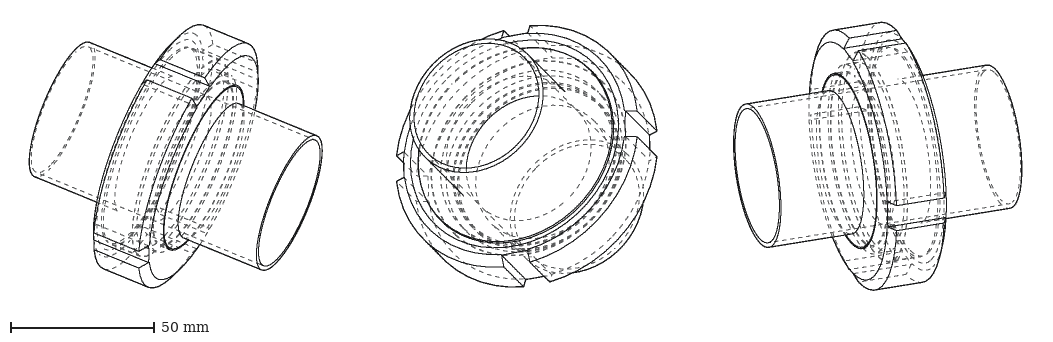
import cadquery as cq
import math


cone_slope = math.tan(math.radians(60))

overall_length = 89.0
pipe_bore_radius = 47.5 / 2
pipe_radius = 50.8 / 2

nut_radius = 46.0
nut_face_radius = 42.1
nut_start = 33.65
nut_length = 21.8
nut_end = nut_start + nut_length
nut_chamfer_length = 2.1
thread_bore_radius = 74.2 / 2
thread_entry_radius = 79.0 / 2
thread_entry_depth = (thread_entry_radius - thread_bore_radius) / cone_slope
collar_bore_radius = 67.0 / 2
lip_bore_radius = 62.0 / 2
lip_thickness = 4.1
lip_start = nut_end - lip_thickness
slot_count = 4
slot_width = 9.9
slot_floor_radius = nut_face_radius

head_radius = 73.8 / 2
head_start = 34.2
neck_fillet = 1.8

collar_radius = 66.9 / 2
collar_length = 5.0
shoulder_radius = 61.0 / 2
cone_length = (shoulder_radius - pipe_radius) / cone_slope

joint_face = lip_start - collar_length


def revolve_about_x(profile):
    """Turn a closed (x, radius) profile into a solid of revolution about X."""
    return profile.close().revolve(360, (0, 0, 0), (1, 0, 0))


def make_nut():
    nut = revolve_about_x(
        cq.Workplane("XY")
        .moveTo(nut_start, thread_entry_radius)
        .lineTo(nut_start, nut_face_radius)
        .lineTo(nut_start + nut_chamfer_length, nut_radius)
        .lineTo(nut_end - nut_chamfer_length, nut_radius)
        .lineTo(nut_end, nut_face_radius)
        .lineTo(nut_end, lip_bore_radius)
        .lineTo(lip_start, lip_bore_radius)
        .lineTo(lip_start, collar_bore_radius)
        .lineTo(joint_face, collar_bore_radius)
        .lineTo(joint_face, thread_bore_radius)
        .lineTo(nut_start + thread_entry_depth, thread_bore_radius)
    )
    slot = cq.Workplane("XY").box(nut_length, slot_width, nut_radius, centered=(False, True, False))
    slot = slot.translate((nut_start, 0, slot_floor_radius))
    for index in range(slot_count):
        nut = nut.cut(slot.rotate((0, 0, 0), (1, 0, 0), index * 360 / slot_count))
    return nut


def make_threaded_body():
    return revolve_about_x(
        cq.Workplane("XY")
        .moveTo(0, pipe_bore_radius)
        .lineTo(0, pipe_radius)
        .lineTo(head_start - neck_fillet, pipe_radius)
        .radiusArc((head_start, pipe_radius + neck_fillet), -neck_fillet)
        .lineTo(head_start, head_radius)
        .lineTo(joint_face, head_radius)
        .lineTo(joint_face, pipe_bore_radius)
    )


def make_liner():
    return revolve_about_x(
        cq.Workplane("XY")
        .moveTo(joint_face, pipe_bore_radius)
        .lineTo(joint_face, collar_radius)
        .lineTo(lip_start, collar_radius)
        .lineTo(lip_start, shoulder_radius)
        .lineTo(nut_end, shoulder_radius)
        .lineTo(nut_end + cone_length, pipe_radius)
        .lineTo(overall_length, pipe_radius)
        .lineTo(overall_length, pipe_bore_radius)
    )


nut = make_nut()
threaded_body = make_threaded_body()
liner = make_liner()

result = cq.Compound.makeCompound([nut.val(), threaded_body.val(), liner.val()])